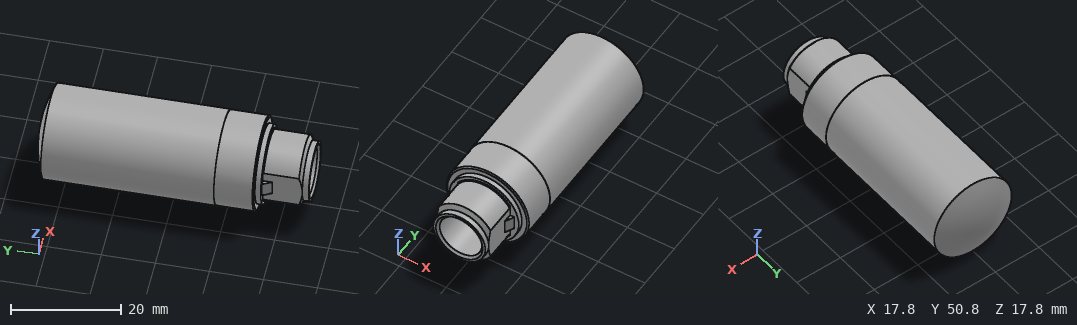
import cadquery as cq

length = 50.8
half_length = length / 2

grip_radius = 17.8 / 2
sleeve_radius = 17.7 / 2
collar_radius = 14.85 / 2
flare_radius = 6.75
neck_radius = 6.55
nose_radius = 11.1 / 2
bore_radius = 9.0 / 2

nose_length = 1.15
neck_start = 1.8
collar_start = 8.5
sleeve_start = 9.55
grip_start = 16.85
dome_height = 1.95

sleeve_chamfer_width = 0.35
sleeve_chamfer_length = 0.2
flare_length = 0.15
bore_chamfer = 0.5
bore_depth = grip_start
flat_distance = nose_radius
rib_height = 0.9
rib_length = 1.8
rib_width = 2.95


def make_body():
    """Revolve the stepped outline and its domed end around the Y axis."""
    dome_start = length - dome_height
    dome_radius = (grip_radius**2 + dome_height**2) / (2 * dome_height)
    mid_radius = grip_radius / 2
    mid_height = length - dome_radius + (dome_radius**2 - mid_radius**2) ** 0.5
    profile = (
        cq.Workplane("XY")
        .moveTo(0, 0)
        .lineTo(nose_radius, 0)
        .lineTo(nose_radius, nose_length)
        .lineTo(neck_radius, neck_start)
        .lineTo(neck_radius, collar_start - flare_length)
        .lineTo(flare_radius, collar_start)
        .lineTo(collar_radius, collar_start)
        .lineTo(collar_radius, sleeve_start)
        .lineTo(sleeve_radius - sleeve_chamfer_width, sleeve_start)
        .lineTo(sleeve_radius, sleeve_start + sleeve_chamfer_length)
        .lineTo(sleeve_radius, grip_start)
        .lineTo(grip_radius, grip_start)
        .lineTo(grip_radius, dome_start)
        .threePointArc((mid_radius, mid_height), (0, length))
        .close()
    )
    return profile.revolve(360, (0, 0, 0), (0, 1, 0))


def make_flat_cutter(side):
    """Block that trims the neck to a flat on the given X side."""
    depth = collar_radius - flat_distance
    return cq.Workplane("XY").box(
        depth, collar_start, 2 * collar_radius, centered=(True, False, True)
    ).translate((side * (flat_distance + depth / 2), 0, 0))


def make_rib(side):
    """Triangular rib between a neck flat and the collar face."""
    return (
        cq.Workplane("XY")
        .moveTo(side * flat_distance, collar_start - rib_length)
        .lineTo(side * (flat_distance + rib_height), collar_start)
        .lineTo(side * flat_distance, collar_start)
        .close()
        .extrude(rib_width / 2, both=True)
    )


def make_bore():
    """Blind bore with a chamfered mouth."""
    return (
        cq.Workplane("XY")
        .lineTo(bore_radius + bore_chamfer, 0)
        .lineTo(bore_radius, bore_chamfer)
        .lineTo(bore_radius, bore_depth)
        .lineTo(0, bore_depth)
        .close()
        .revolve(360, (0, 0, 0), (0, 1, 0))
    )


part = make_body()
for side in (-1, 1):
    part = part.cut(make_flat_cutter(side)).union(make_rib(side))
part = part.cut(make_bore())

result = part.translate((0, -half_length, 0))